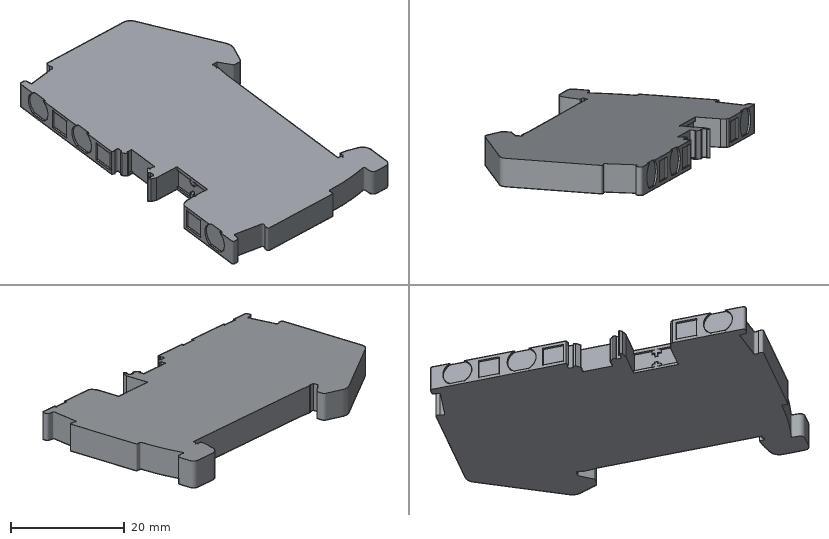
import cadquery as cq
import math


length = 60.7
height = 35.4
thickness = 5.15
body_width = 60.6
body_top = 29.45
body_middle = body_width / 2

foot_inset = 1.15
foot_height = 1.3
neck_inset = 2.6
neck_height = 1.5
shoulder_inset = 1.65
shoulder_height = 7.15
shoulder_top = 7.45
small_round = 0.3
foot_round = 0.4
neck_round = 0.2

wall_top = 26.2
apex_x = 17.25
apex_y = 35.65
nose_x = 21.8
nose_top = 33.9
nose_bottom = 32.25
throat_x = 19.25
throat_top = 30.5
wedge_start = 20.35
wedge_end = 23.05
wedge_rise = 0.2
nose_low_round = 0.3
nose_top_round = 0.7
apex_round = 2.4
wall_round = 1.95

latch_root_x = 53.5
latch_notch_x = 53.85
latch_notch_edge_x = 53.6
latch_notch_bottom = 29.9
latch_notch_middle = 30.2
latch_lip_x = 52.75
latch_lip_y = 30.55
latch_bend_x = 53.0
latch_bend_y = 31.9
latch_front_x = 54.1
latch_under_y = 31.25
latch_neck_x = 58.45
neck_bend_x = 59.4
neck_bend_y = 26.65
bend_round = 35.2
ledge_round = 0.2
under_round = 0.25
head_drop = 0.1
head_low_round = 0.9
head_top_round = 1.0
front_round = 2.05
lip_round = 2.4
ledge_y = 22.3

pocket_middle = 31.2
pocket_top = 3.1
pocket_half = 2.75
mouth_y = 1.8
undercut_half = 3.1
undercut_bottom = 2.05
web_thickness = 0.25
lip_inner_half = 3.45
lip_edge_half = 3.8
lip_root_half = 4.0
lip_y = 1.15
groove_half = 4.9
groove_top = 1.45
catch_half = 4.6
catch_y = 0.55
base_half = 4.9
groove_round = 0.25

slot_left = 36.95
slot_right = 45.2
slot_top = 6.1
slot_flare_y = 1.35
slot_flare = 0.35
slot_foot_y = 0.35
slot_foot_flare = 0.8

recess_depth = 0.35
first_round_x = 6.2
first_square_x = 12.0
socket_pitch = 11.9
round_positions = (first_round_x, first_round_x + socket_pitch, body_width - first_round_x)
square_positions = (first_square_x, first_square_x + socket_pitch, body_width - first_square_x)
round_radius = 2.7
round_center_z = 2.85
recess_floor_z = 0.55
square_size = 3.8
square_z = 0.65
slot_recess_top_z = 4.45
slot_recess_y = slot_top + recess_depth

rib_half = 0.275
rib_ramp = 0.6
rib_length = 0.7
rib_x = 41.1


def rounded_outline(corners):
    """Closed outline through (x, y, radius) corners; radius 0 leaves a corner sharp."""
    outline = None
    for index, (x, y, radius) in enumerate(corners):
        corner = cq.Vector(x, y)
        before = cq.Vector(*corners[index - 1][:2])
        after = cq.Vector(*corners[(index + 1) % len(corners)][:2])
        to_before = (before - corner).normalized()
        to_after = (after - corner).normalized()
        half_angle = to_before.getAngle(to_after) / 2
        setback = radius / math.tan(half_angle)
        start = corner + to_before * setback
        if outline is None:
            outline = cq.Workplane("XY").moveTo(start.x, start.y)
        else:
            outline = outline.lineTo(start.x, start.y)
        if radius > 0:
            bisector = (to_before + to_after).normalized()
            middle = corner + bisector * (radius / math.sin(half_angle) - radius)
            end = corner + to_after * setback
            outline = outline.threePointArc((middle.x, middle.y), (end.x, end.y))
    return outline.close()


def mirrored(corners, axis_x):
    """The corners reflected about a vertical line, in reversed order."""
    return [(2 * axis_x - x, y, radius) for x, y, radius in reversed(corners)]


right_side = [
    (body_width - foot_inset, 0, foot_round),
    (body_width - foot_inset, foot_height, foot_round),
    (body_width - neck_inset, neck_height, neck_round),
    (body_width - shoulder_inset, shoulder_top, small_round),
    (body_width - shoulder_inset / 2, shoulder_height, 0),
    (body_width, shoulder_height, small_round),
]

pocket_right = [
    (pocket_middle + pocket_half, pocket_top, 0),
    (pocket_middle + pocket_half, mouth_y, 0),
    (pocket_middle + lip_inner_half, lip_y, 0),
    (pocket_middle + lip_edge_half, lip_y, 0),
    (pocket_middle + lip_root_half, groove_top, 0),
    (pocket_middle + groove_half, groove_top, groove_round),
    (pocket_middle + groove_half, catch_y, 0),
    (pocket_middle + catch_half, catch_y, 0),
    (pocket_middle + base_half, 0, 0),
]

slot = [
    (slot_left - slot_foot_flare, 0, 0),
    (slot_left - slot_flare, slot_foot_y, 0),
    (slot_left, slot_flare_y, 0),
    (slot_left, slot_top, 0),
]
slot += mirrored(slot, (slot_left + slot_right) / 2)

latch = [
    (body_width, ledge_y, ledge_round),
    (neck_bend_x, ledge_y, ledge_round),
    (neck_bend_x, neck_bend_y, bend_round),
    (latch_neck_x, latch_under_y, under_round),
    (length, latch_under_y + head_drop, head_low_round),
    (length, height, head_top_round),
    (latch_front_x, height, front_round),
    (latch_bend_x, latch_bend_y, lip_round),
    (latch_lip_x, latch_lip_y, 0),
    (latch_notch_edge_x, latch_lip_y, 0),
    (latch_notch_x, latch_notch_middle, 0),
    (latch_root_x, latch_notch_bottom, 0),
    (latch_root_x, body_top, 0),
]

hook = [
    (wedge_end, body_top, 0),
    (wedge_start, body_top + wedge_rise, 0),
    (wedge_start, body_top, 0),
    (throat_x, body_top, 0),
    (throat_x, throat_top, 0),
    (nose_x, nose_bottom, nose_low_round),
    (nose_x, nose_top, nose_top_round),
    (apex_x, apex_y, apex_round),
    (0, wall_top, wall_round),
]

corners = (
    mirrored(pocket_right, pocket_middle) + pocket_right
    + slot + right_side + latch + hook + mirrored(right_side, body_middle)
)
housing = rounded_outline(corners).extrude(thickness)


def box(x_min, x_max, y_min, y_max, z_min, z_max):
    size = (x_max - x_min, y_max - y_min, z_max - z_min)
    return cq.Workplane("XY").box(*size, centered=False).translate((x_min, y_min, z_min))


def round_recess(x):
    """Circular recess in the base, flat at its lower edge and open to the top face."""
    disc = cq.Workplane("XZ").center(x, round_center_z).circle(round_radius).extrude(-recess_depth)
    below = box(x - round_radius, x + round_radius, 0, recess_depth, 0, recess_floor_z)
    return disc.cut(below)


def square_recess(x):
    half = square_size / 2
    return box(x - half, x + half, 0, recess_depth, square_z, square_z + square_size)


def rib_profile(workplane, crest_length):
    """Half a rib: a crest level with the slot top, then a rounded flank down to the recess bottom."""
    return (
        workplane.moveTo(0, slot_recess_y)
        .lineTo(0, slot_top)
        .lineTo(crest_length, slot_top)
        .tangentArcPoint((crest_length + rib_ramp, slot_recess_y), relative=False)
        .close()
    )


def lower_rib():
    """Rib at the lower edge of the slot recess, rounded on both flanks and at its end."""
    origin = (rib_x, 0, recess_floor_z)
    right_flank = rib_profile(cq.Workplane("XY", origin=origin), rib_half).extrude(rib_length)
    left_flank = right_flank.mirror("YZ", origin)
    end = rib_profile(cq.Workplane("ZY", origin=origin), rib_length).extrude(rib_half, both=True)
    return right_flank.union(left_flank).union(end)


def slot_recess():
    """Recess in the top of the slot with a rib left standing at each long edge."""
    middle = (rib_x, slot_top, (recess_floor_z + slot_recess_top_z) / 2)
    rib = lower_rib()
    recess = box(slot_left, slot_right, slot_top, slot_recess_y, recess_floor_z, slot_recess_top_z)
    return recess.cut(rib).cut(rib.mirror("XY", middle))


def pocket_undercut():
    """Widening of the rail pocket above its mouth, leaving a thin web at the bottom face."""
    return box(
        pocket_middle - undercut_half, pocket_middle + undercut_half,
        undercut_bottom, pocket_top, web_thickness, thickness,
    )


result = housing.cut(pocket_undercut()).cut(slot_recess())
for x in round_positions:
    result = result.cut(round_recess(x))
for x in square_positions:
    result = result.cut(square_recess(x))